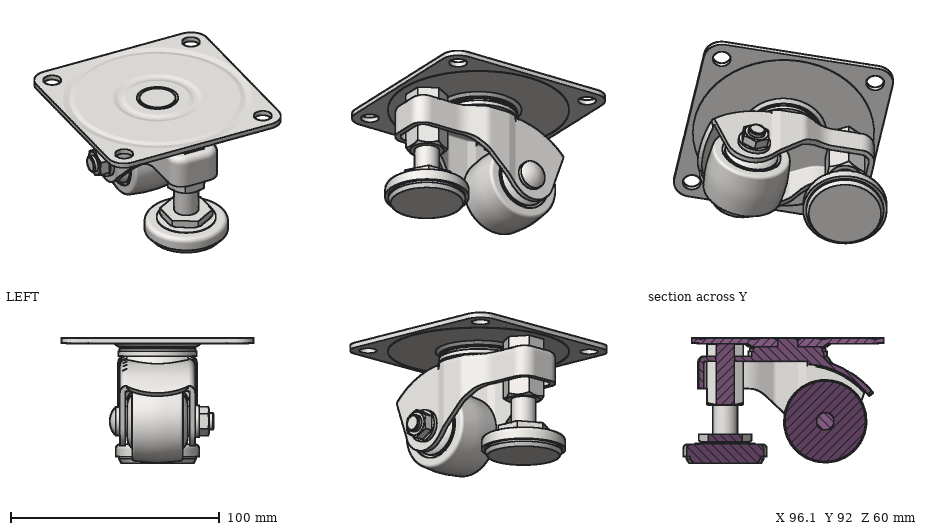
import cadquery as cq
import math


plate_side = 92.0
plate_thickness = 2.5
plate_corner_radius = 8.5
bolt_spacing = 74.8
bolt_hole_diameter = 8.5
groove_depth = 0.5
outer_groove_radii = (45.3, 42.3, 42.0, 39.7)
inner_groove_radii = (21.2, 19.0, 17.5, 15.3)
lip_radius = 43.4
lip_bottom = -2.8
race_top_radius = 20.6
race_bottom_radius = 18.7
race_bottom = -4.2

kingpin_radius = 8.8
kingpin_chamfer = 0.3
kingpin_seat_radius = 9.9
neck_radius = 17.8
neck_bottom = -4.6
upper_ring_radius = 18.2
upper_ring_chamfer = 0.6
upper_ring_bottom = -6.4
flange_radius = 18.9

roof_z = -8.6
sheet = 2.6
bend_radius = 3.3
cheek_half_width = 18.0
belly_half_width = 18.9
belly_start_x = -5.2
belly_bend_radius = 5.8
taper_angle = 30
tail_half_width = 12.7
tail_bend_x = 17.9
tail_bend_radius = 13.1
tail_end_x = 43.0
tail_corner_radius = 7.1
cheek_bend_x = -9.3
hood_join_x = cheek_bend_x
hood_center = (-7.1, -53.1)
hood_radius = 43.2
hood_end_x = -37.9
cheek_low_corner = (-24.4, -60.7)
cheek_low_radius = 11.7
skirt_bottom = -24.3
skirt_corner_x = 14.2
skirt_radius = 11.5
visor_half_width = cheek_half_width - bend_radius
visor_tip = (-41.1, -26.2)
visor_overlap = 12.0
visor_end_radius = 28.5
dome_bottom_radius = 21.6
dome_bottom = -12.7
blank_bottom = -67.2

axle_x = -18.0
axle_z = -39.8
wheel_radius = 19.9
tread_edge_radius = 19.0
tread_half_width = 10.9
rim_radius = 17.4
rim_middle = (18.5, 11.8)
rim_half_width = 12.2
rim_inner_radius = 14.2
groove_floor = 11.4
hub_outer_radius = 12.9
hub_edge = 12.3
hub_middle = (10.4, 14.0)
hub_inner_radius = 7.2
hub_half_width = 14.6
axle_radius = 4.0
head_radius = 6.9
head_rim_end = 20.0
head_dome_end = 22.9
washer_radius = 7.7
washer_end = 20.0
nut_flats = 12.1
nut_end = 24.8
nut_face_radius = 5.7
nut_chamfer_height = 0.6
axle_end = 27.0
axle_end_chamfer = 0.6

foot_x = 30.0
sleeve_flats = 17.4
sleeve_top = -2.9
sleeve_bottom = -32.2
sleeve_face_radius = 8.1
sleeve_chamfer_height = 1.2
rod_radius = 6.0
foot_hex_flats = 21.9
foot_hex_top = -46.0
foot_hex_bottom = -49.7
foot_hex_face_radius = 11.7
foot_hex_chamfer_height = 0.7
foot_neck_radius = 3.8
foot_step_radius = 14.2
foot_step_top = -50.5
foot_top = -50.8
foot_radius = 20.1
foot_fillet = 2.3
foot_rim_bottom = -56.8
foot_base_radius = 18.5
foot_base_chamfer_top = -57.9
foot_base_bottom_radius = 17.3
foot_bottom = -60.0


def cylinder(radius, bottom, top, x=0.0):
    """Upright cylinder on the line through (x, 0)."""
    return cq.Workplane("XY", origin=(x, 0, bottom)).circle(radius).extrude(top - bottom)


def turned(section, x=0.0):
    """Body turned about the upright line through (x, 0) from (radius, height) points."""
    plane = cq.Workplane("XZ", origin=(x, 0, 0))
    return plane.polyline(section).close().revolve(360, (0, 0, 0), (0, 1, 0))


def hexagon_bar(flats, length, face_radius, chamfer_height):
    """Hexagonal bar along +Z from the origin, corners on X, its far end turned down to a round face."""
    corner_radius = flats / math.sqrt(3)
    bar = cq.Workplane("XY").polygon(6, 2 * corner_radius).extrude(length)
    round_bar = cylinder(corner_radius, 0, length)
    round_bar = round_bar.faces(">Z").chamfer(chamfer_height, corner_radius - face_radius)
    return bar.intersect(round_bar)


def along_axle(body):
    """Move a body built along +Z so that it points along +Y from the wheel centre."""
    return body.rotate((0, 0, 0), (1, 0, 0), -90).translate((axle_x, 0, axle_z))


def v_groove(radii):
    """Ring groove in the plate face, given its four radii from outside to inside."""
    outer, floor_outer, floor_inner, inner = radii
    return turned([(outer, 0), (floor_outer, -groove_depth), (floor_inner, -groove_depth), (inner, 0)])


def make_plate():
    plate = cq.Workplane("XY").rect(plate_side, plate_side).extrude(-plate_thickness)
    plate = plate.edges("|Z").fillet(plate_corner_radius)
    holes = (
        cq.Workplane("XY")
        .rect(bolt_spacing, bolt_spacing, forConstruction=True)
        .vertices()
        .circle(bolt_hole_diameter / 2)
        .extrude(-plate_thickness)
    )
    plate = plate.cut(holes)
    plate = plate.union(cylinder(lip_radius, lip_bottom, -plate_thickness / 2))
    race = turned([(0, lip_bottom), (race_top_radius, lip_bottom),
                   (race_bottom_radius, race_bottom), (0, race_bottom)])
    plate = plate.union(race)
    plate = plate.cut(v_groove(outer_groove_radii)).cut(v_groove(inner_groove_radii))
    kingpin_hole = cylinder(kingpin_radius, race_bottom, 0)
    seat_depth = kingpin_seat_radius - kingpin_radius
    seat = turned([(0, 0), (kingpin_seat_radius, 0), (kingpin_radius, -seat_depth), (0, -seat_depth)])
    return plate.cut(kingpin_hole).cut(seat)


def swivel_rings():
    """Kingpin, neck, ring and flange on top of the fork."""
    rings = cylinder(flange_radius, roof_z, upper_ring_bottom)
    upper_ring = cylinder(upper_ring_radius, upper_ring_bottom, neck_bottom)
    rings = rings.union(upper_ring.faces(">Z").chamfer(upper_ring_chamfer))
    rings = rings.union(cylinder(neck_radius, neck_bottom, race_bottom))
    return rings.union(cylinder(kingpin_radius, race_bottom, 0).faces(">Z").chamfer(kingpin_chamfer))


def fork_plan(inset):
    """Upright prism with the plan outline of the rear of the fork, drawn in by the inset."""
    front_x = hood_join_x - 2 * sheet
    taper_run = (belly_half_width - tail_half_width) / math.tan(math.radians(taper_angle))
    belly_end = (tail_bend_x - taper_run, belly_half_width)
    belly_start = (belly_start_x, belly_half_width)
    tail_bend = (tail_bend_x, tail_half_width)
    tail_corner = (tail_end_x, tail_half_width)
    left_side = [(front_x, cheek_half_width), (cheek_bend_x, cheek_half_width),
                 belly_start, belly_end, tail_bend, tail_corner]
    right_side = [(x, -y) for x, y in reversed(left_side)]
    roof_plane = cq.Workplane("XY", origin=(0, 0, roof_z))
    prism = roof_plane.polyline(left_side + right_side).close().extrude(blank_bottom - roof_z)
    bends = [(belly_end, belly_bend_radius), (tail_bend, tail_bend_radius), (tail_corner, tail_corner_radius)]
    for (x, y), radius in bends:
        for side in (y, -y):
            corner = cq.selectors.NearestToPointSelector((x, side, (roof_z + blank_bottom) / 2))
            prism = prism.edges("|Z").edges(corner).fillet(radius)
    if inset > 0:
        outline = prism.faces(">Z").wires().toPending().workplane()
        prism = outline.offset2D(-inset).extrude(blank_bottom - roof_z, combine=False)
    return prism


def rear_block(inset):
    """Flat-roofed rear of the fork, drawn in by the inset on the sides and roof."""
    block = fork_plan(inset).translate((0, 0, -inset))
    block = block.faces(">Z").edges().fillet(bend_radius - inset)
    behind = cq.Workplane("XY").box(plate_side, plate_side, 2 * plate_side, centered=(False, True, True))
    return block.intersect(behind.translate((hood_join_x, 0, 0)))


def hood_height(x, radius):
    """Height of the hood arc of the given radius at x."""
    return hood_center[1] + math.sqrt(radius**2 - (x - hood_center[0])**2)


def hood_block(inset):
    """Arched front of the fork over the wheel, drawn in by the inset."""
    radius = hood_radius - inset
    front_x = hood_end_x - inset
    half_width = cheek_half_width - inset
    middle_x = (front_x + hood_join_x) / 2
    block = (
        cq.Workplane("XZ", origin=(0, half_width, 0))
        .moveTo(front_x, hood_height(front_x, radius))
        .threePointArc((middle_x, hood_height(middle_x, radius)),
                       (hood_join_x, hood_height(hood_join_x, radius)))
        .lineTo(hood_join_x, blank_bottom - inset)
        .lineTo(front_x, blank_bottom - inset)
        .close()
        .extrude(2 * half_width)
    )
    return block.edges("%CIRCLE").fillet(bend_radius - inset)


def side_outline():
    """Prism along Y that trims the cheeks and the skirt from below."""
    hood_end = (hood_end_x, hood_height(hood_end_x, hood_radius))
    prism = (
        cq.Workplane("XZ", origin=(0, plate_side / 2, 0))
        .polyline([hood_end, cheek_low_corner, (skirt_corner_x, skirt_bottom),
                   (plate_side / 2, skirt_bottom), (plate_side / 2, 0), (hood_end_x, 0)])
        .close()
        .extrude(plate_side)
    )
    prism = prism.edges("|Y").edges("<Z").fillet(cheek_low_radius)
    near_corner = cq.selectors.NearestToPointSelector((skirt_corner_x, 0, skirt_bottom))
    return prism.edges("|Y").edges(near_corner).fillet(skirt_radius)


def make_visor():
    """Thin front lip of the hood: an arched strip whose end is rounded across its width."""
    tip_angle = math.atan2(visor_tip[1] - hood_center[1], visor_tip[0] - hood_center[0])
    start_angle = tip_angle - math.radians(visor_overlap)

    def on_arc(radius, angle):
        return (hood_center[0] + radius * math.cos(angle), hood_center[1] + radius * math.sin(angle))

    middle_angle = (tip_angle + start_angle) / 2
    inner_radius = hood_radius - sheet
    strip = (
        cq.Workplane("XZ", origin=(0, visor_half_width, 0))
        .moveTo(*on_arc(hood_radius, start_angle))
        .threePointArc(on_arc(hood_radius, middle_angle), on_arc(hood_radius, tip_angle))
        .lineTo(*on_arc(inner_radius, tip_angle))
        .threePointArc(on_arc(inner_radius, middle_angle), on_arc(inner_radius, start_angle))
        .close()
        .extrude(2 * visor_half_width)
    )
    outward = (math.cos(tip_angle), math.sin(tip_angle))
    tip = on_arc(inner_radius - sheet, tip_angle)
    center = (tip[0] + visor_end_radius * outward[1], 0, tip[1] - visor_end_radius * outward[0])
    end_plane = cq.Plane(origin=center, xDir=(0, 1, 0), normal=(outward[0], 0, outward[1]))
    return strip.intersect(cq.Workplane(end_plane).circle(visor_end_radius).extrude(hood_radius))


def swivel_dome():
    """Flared shoulder between the swivel flange and the hood."""
    cone = turned([(0, roof_z), (flange_radius, roof_z), (dome_bottom_radius, dome_bottom), (0, dome_bottom)])
    over_hood = cq.Workplane("XY").box(
        dome_bottom_radius + hood_join_x, 2 * visor_half_width, plate_side, centered=(False, True, True)
    )
    return cone.intersect(over_hood.translate((-dome_bottom_radius, 0, 0)))


def make_fork():
    solid = hood_block(0).union(rear_block(0)).union(swivel_dome())
    cavity = hood_block(sheet).union(rear_block(sheet))
    fork = solid.cut(cavity).intersect(side_outline())
    fork = fork.union(make_visor()).union(swivel_rings())
    axle_hole = along_axle(cylinder(axle_radius, -plate_side / 2, plate_side / 2))
    return fork.cut(axle_hole).cut(sleeve_bar())


def make_wheel():
    """Wheel with a crowned tread, and a ring groove around a domed hub on each side."""
    cheek_face = cheek_half_width - sheet
    wheel_body = (
        cq.Workplane("XZ")
        .moveTo(axle_radius, -cheek_face)
        .lineTo(hub_inner_radius, -cheek_face)
        .lineTo(hub_inner_radius, -hub_half_width)
        .threePointArc((hub_middle[0], -hub_middle[1]), (hub_outer_radius, -hub_edge))
        .lineTo(hub_outer_radius, -groove_floor)
        .lineTo(rim_inner_radius, -groove_floor)
        .lineTo(rim_inner_radius, -rim_half_width)
        .lineTo(rim_radius, -rim_half_width)
        .threePointArc((rim_middle[0], -rim_middle[1]), (tread_edge_radius, -tread_half_width))
        .threePointArc((wheel_radius, 0), (tread_edge_radius, tread_half_width))
        .threePointArc(rim_middle, (rim_radius, rim_half_width))
        .lineTo(rim_inner_radius, rim_half_width)
        .lineTo(rim_inner_radius, groove_floor)
        .lineTo(hub_outer_radius, groove_floor)
        .lineTo(hub_outer_radius, hub_edge)
        .threePointArc(hub_middle, (hub_inner_radius, hub_half_width))
        .lineTo(hub_inner_radius, cheek_face)
        .lineTo(axle_radius, cheek_face)
        .close()
        .revolve(360, (0, 0, 0), (0, 1, 0))
    )
    return along_axle(wheel_body)


def make_axle():
    axle = cylinder(axle_radius, -axle_end, cheek_half_width).faces("<Z").chamfer(axle_end_chamfer)
    dome = (
        cq.Workplane("XZ")
        .moveTo(0, cheek_half_width)
        .lineTo(head_radius, cheek_half_width)
        .lineTo(head_radius, head_rim_end)
        .threePointArc(dome_middle(), (0, head_dome_end))
        .close()
        .revolve(360, (0, 0, 0), (0, 1, 0))
    )
    washer = cylinder(washer_radius, -washer_end, -cheek_half_width)
    nut = hexagon_bar(nut_flats, nut_end - washer_end, nut_face_radius, nut_chamfer_height)
    nut = nut.rotate((0, 0, 0), (0, 0, 1), 90).rotate((0, 0, 0), (1, 0, 0), 180).translate((0, 0, -washer_end))
    return along_axle(axle.union(dome).union(washer).union(nut))


def dome_middle():
    """Point half-way along the arc of the axle head."""
    rise = head_dome_end - head_rim_end
    radius = (head_radius**2 + rise**2) / (2 * rise)
    half_angle = math.asin(head_radius / radius) / 2
    return (radius * math.sin(half_angle), head_dome_end - radius * (1 - math.cos(half_angle)))


def sleeve_bar():
    """Hexagonal bar of the sleeve, corners on Y, chamfered at its lower end."""
    bar = hexagon_bar(sleeve_flats, sleeve_top - sleeve_bottom, sleeve_face_radius, sleeve_chamfer_height)
    bar = bar.rotate((0, 0, 0), (0, 0, 1), 90).rotate((0, 0, 0), (1, 0, 0), 180)
    return bar.translate((foot_x, 0, sleeve_top))


def make_sleeve():
    return sleeve_bar().cut(cylinder(rod_radius, sleeve_bottom, sleeve_top, foot_x))


def make_foot():
    height = foot_hex_top - foot_hex_bottom
    hexagon = hexagon_bar(foot_hex_flats, height, foot_hex_face_radius, foot_hex_chamfer_height)
    hexagon = hexagon.rotate((0, 0, 0), (1, 0, 0), 180).translate((foot_x, 0, foot_hex_top))
    pad = cylinder(foot_radius, foot_rim_bottom, foot_top, foot_x).faces(">Z").edges().fillet(foot_fillet)
    base_section = [(0, foot_rim_bottom), (foot_base_radius, foot_rim_bottom),
                    (foot_base_radius, foot_base_chamfer_top),
                    (foot_base_bottom_radius, foot_bottom), (0, foot_bottom)]
    base = turned(base_section, foot_x)
    foot = cylinder(rod_radius, foot_hex_top, sleeve_top, foot_x).union(hexagon)
    foot = foot.union(cylinder(foot_neck_radius, foot_step_top, foot_hex_bottom, foot_x))
    foot = foot.union(cylinder(foot_step_radius, foot_top, foot_step_top, foot_x))
    return foot.union(pad).union(base)


plate = make_plate()
fork = make_fork()
wheel = make_wheel()
axle = make_axle()
sleeve = make_sleeve()
foot = make_foot()

result = cq.Compound.makeCompound(
    [plate.val(), fork.val(), wheel.val(), axle.val(), sleeve.val(), foot.val()]
)